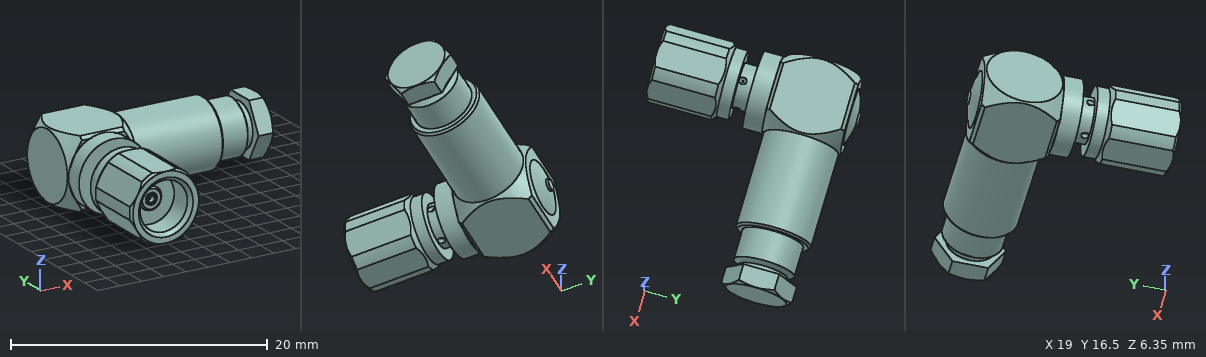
import cadquery as cq
import math


overall_length = 19.02
overall_width = 16.53

block_size = 6.35
half_block = block_size / 2
edge_chamfer = 0.29
sleeve_dia = 6.1
block_face_dia = sleeve_dia

sleeve_end = 11.09
sleeve_chamfer = 0.17
ferrule_dia = 4.95
ferrule_end = 13.87
ferrule_cone_length = 0.3
cable_neck_dia = 4.0
cable_nut_start = 14.3
cable_nut_flats = 5.0
cable_nut_end = overall_length - half_block
cable_nut_face_dia = ferrule_dia
cable_nut_chamfer_angle = 30

collar_dia = 6.3
collar_end = 4.75
mating_neck_dia = 3.7
ring_start = 5.95
ring_dia = 5.65
nut_start = 6.95
nut_end = 12.65
nut_dia = 6.35
nut_flats = 5.97
nut_back_chamfer = (nut_dia - ring_dia) / 2
nut_front_chamfer_length = 0.23

bore_dia = 4.3
bore_mouth_dia = 4.95
bore_depth = 2.32
insulator_dia = 2.0
insulator_tip_dia = 1.7
insulator_height = 0.15
contact_gap_dia = 1.0
contact_dia = 0.8
contact_gap_depth = 0.19
contact_hole_dia = 0.57
contact_hole_floor_dia = 0.3
contact_hole_depth = 0.38

neck_hole_mouth_dia = 0.6
neck_hole_dia = 0.42
neck_hole_floor_dia = 0.11
neck_hole_depth = 0.29
neck_hole_from_ring = 0.32

dome_radius_at_block = 2.28
dome_height = 0.53
button_dia = 1.0
button_top = overall_width - nut_end

hexagon_corner_ratio = 1 / math.cos(math.radians(30))


def turned_about_x(profile):
    """Solid turned about the X axis from (x, radius) points."""
    return cq.Workplane("XY").polyline(profile).close().revolve(360, (0, 0, 0), (1, 0, 0))


def turned_about_y(profile):
    """Solid turned about the Y axis from (distance along -Y, radius) points."""
    points = [(radius, -distance) for distance, radius in profile]
    return cq.Workplane("XY").polyline(points).close().revolve(360, (0, 0, 0), (0, 1, 0))


def elbow_block():
    block = cq.Workplane("XY").box(block_size, block_size, block_size)
    block = block.edges("|X").chamfer(edge_chamfer)
    face_radius = block_face_dia / 2
    middle_radius = face_radius + half_block
    turned_limit = turned_about_x([
        (-half_block, 0),
        (-half_block, face_radius),
        (0, middle_radius),
        (half_block, face_radius),
        (half_block, 0),
    ])
    return block.intersect(turned_limit)


def cable_side():
    sleeve_radius = sleeve_dia / 2
    ferrule_radius = ferrule_dia / 2
    cable_neck_radius = cable_neck_dia / 2
    return turned_about_x([
        (0, 0),
        (0, sleeve_radius),
        (sleeve_end - sleeve_chamfer, sleeve_radius),
        (sleeve_end, sleeve_radius - sleeve_chamfer),
        (sleeve_end, ferrule_radius),
        (ferrule_end - ferrule_cone_length, ferrule_radius),
        (ferrule_end, cable_neck_radius),
        (cable_nut_start, cable_neck_radius),
        (cable_nut_start, 0),
    ])


def cable_nut():
    corner_dia = cable_nut_flats * hexagon_corner_ratio
    nut = (
        cq.Workplane("YZ", origin=(cable_nut_start, 0, 0))
        .polygon(6, corner_dia)
        .extrude(cable_nut_end - cable_nut_start)
    )
    corner_radius = corner_dia / 2
    face_radius = cable_nut_face_dia / 2
    chamfer_length = (corner_radius - face_radius) * math.tan(math.radians(cable_nut_chamfer_angle))
    turned_limit = turned_about_x([
        (cable_nut_start, 0),
        (cable_nut_start, corner_radius),
        (cable_nut_end - chamfer_length, corner_radius),
        (cable_nut_end, face_radius),
        (cable_nut_end, 0),
    ])
    return nut.intersect(turned_limit)


def mating_side():
    collar_radius = collar_dia / 2
    neck_radius = mating_neck_dia / 2
    ring_radius = ring_dia / 2
    return turned_about_y([
        (0, 0),
        (0, neck_radius),
        (half_block, neck_radius),
        (half_block, collar_radius),
        (collar_end, collar_radius),
        (collar_end, neck_radius),
        (ring_start, neck_radius),
        (ring_start, ring_radius),
        (nut_start, ring_radius),
        (nut_start, 0),
    ])


def coupling_nut():
    nut_radius = nut_dia / 2
    body = turned_about_y([
        (nut_start, 0),
        (nut_start, ring_dia / 2),
        (nut_start + nut_back_chamfer, nut_radius),
        (nut_end - nut_front_chamfer_length, nut_radius),
        (nut_end, nut_flats / 2),
        (nut_end, 0),
    ])
    hexagon = (
        cq.Workplane("XZ", origin=(0, -nut_start, 0))
        .polygon(6, nut_flats * hexagon_corner_ratio)
        .extrude(nut_end - nut_start)
    )
    return body.intersect(hexagon)


def socket_bore():
    mouth_depth = (bore_mouth_dia - bore_dia) / 2
    return turned_about_y([
        (nut_end - bore_depth, 0),
        (nut_end - bore_depth, bore_dia / 2),
        (nut_end - mouth_depth, bore_dia / 2),
        (nut_end, bore_mouth_dia / 2),
        (nut_end, 0),
    ])


def insulator_boss():
    """Tapered boss on the bore floor, with its end face flush with the contact."""
    floor = nut_end - bore_depth
    boss_top = floor + insulator_height
    return turned_about_y([
        (floor, 0),
        (floor, insulator_dia / 2),
        (boss_top, insulator_tip_dia / 2),
        (boss_top, 0),
    ])


def contact_recesses():
    """Ring-shaped gap around the centre contact and the tapered hole in its tip."""
    face = nut_end - bore_depth + insulator_height
    gap = turned_about_y([
        (face, contact_dia / 2),
        (face, contact_gap_dia / 2),
        (face - contact_gap_depth, contact_gap_dia / 2),
        (face - contact_gap_depth, contact_dia / 2),
    ])
    hole = turned_about_y([
        (face, 0),
        (face, contact_hole_dia / 2),
        (face - contact_hole_depth, contact_hole_floor_dia / 2),
        (face - contact_hole_depth, 0),
    ])
    return gap.union(hole)


def neck_holes():
    """Four countersunk, tapered blind holes pointing along +-X and +-Z."""
    neck_radius = mating_neck_dia / 2
    mouth_radius = neck_hole_mouth_dia / 2
    hole_radius = neck_hole_dia / 2
    countersink = mouth_radius - hole_radius
    profile = [
        (0, neck_radius - neck_hole_depth),
        (neck_hole_floor_dia / 2, neck_radius - neck_hole_depth),
        (hole_radius, neck_radius - countersink),
        (mouth_radius, neck_radius),
        (0, neck_radius),
    ]
    hole = cq.Workplane("XZ").polyline(profile).close().revolve(360, (0, 0, 0), (0, 1, 0))
    hole = hole.translate((0, neck_hole_from_ring - ring_start, 0))
    holes = hole
    for angle in (90, 180, 270):
        holes = holes.union(hole.rotate((0, 0, 0), (0, 1, 0), angle))
    return holes


def domed_cap():
    dome_top = half_block + dome_height
    sphere_radius = (dome_radius_at_block**2 + dome_height**2) / (2 * dome_height)
    half_angle = math.asin(dome_radius_at_block / sphere_radius) / 2
    mid_point = (
        sphere_radius * math.sin(half_angle),
        dome_top - sphere_radius * (1 - math.cos(half_angle)),
    )
    dome = (
        cq.Workplane("XY")
        .moveTo(0, dome_top)
        .threePointArc(mid_point, (dome_radius_at_block, half_block))
        .lineTo(dome_radius_at_block, 0)
        .lineTo(0, 0)
        .close()
        .revolve(360, (0, 0, 0), (0, 1, 0))
    )
    button = cq.Workplane("XZ").circle(button_dia / 2).extrude(-button_top)
    return dome.union(button)


result = (
    elbow_block()
    .union(cable_side())
    .union(cable_nut())
    .union(mating_side())
    .union(coupling_nut())
    .union(domed_cap())
    .cut(socket_bore())
    .union(insulator_boss())
    .cut(contact_recesses())
    .cut(neck_holes())
)